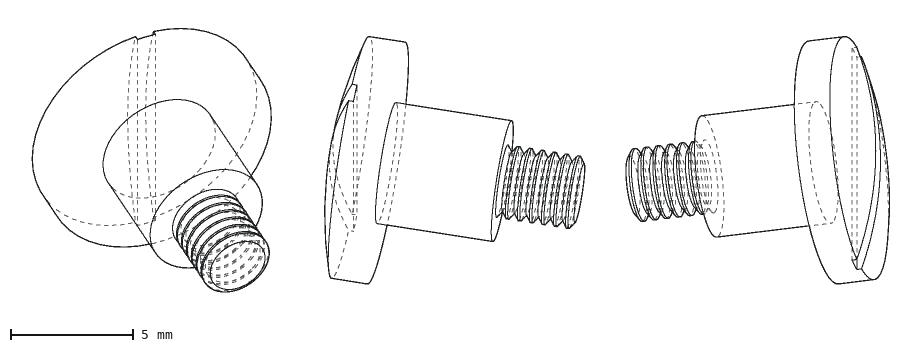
import cadquery as cq

head_diameter = 10.0
head_rim_length = 1.5
dome_height = 0.8
head_edge_fillet = 0.02

slot_width = 0.8
slot_depth = 1.0

shoulder_diameter = 5.0
shoulder_length = 4.8

thread_diameter = 3.0
thread_pitch = 0.5
thread_depth = 0.28
thread_crest_width = 0.1
thread_ridge_count = 6

head_radius = head_diameter / 2
shoulder_radius = shoulder_diameter / 2
crest_radius = thread_diameter / 2
root_radius = crest_radius - thread_depth
flank_length = (thread_pitch - thread_crest_width) / 2

rim_x = -head_rim_length
apex_x = rim_x - dome_height
dome_radius = (head_radius**2 + dome_height**2) / (2 * dome_height)


def make_head():
    """Cylindrical rim with a spherical dome and a rounded underside edge."""
    dome_mid_radius = head_radius / 2
    dome_mid_x = apex_x + dome_radius - (dome_radius**2 - dome_mid_radius**2) ** 0.5
    profile = (
        cq.Workplane("XZ")
        .moveTo(apex_x, 0)
        .threePointArc((dome_mid_x, dome_mid_radius), (rim_x, head_radius))
        .lineTo(0, head_radius)
        .lineTo(0, 0)
        .close()
    )
    head = profile.revolve(360, (0, 0, 0), (1, 0, 0))
    return head.faces(">X").edges().fillet(head_edge_fillet)


def make_shank():
    """Plain shoulder followed by thread ridges modelled as separate rings."""
    profile = (
        cq.Workplane("XZ")
        .lineTo(0, shoulder_radius)
        .lineTo(shoulder_length, shoulder_radius)
        .lineTo(shoulder_length, crest_radius)
    )
    root_x = shoulder_length + flank_length
    profile = profile.lineTo(root_x, root_radius)
    for _ in range(thread_ridge_count):
        crest_x = root_x + flank_length
        profile = profile.lineTo(crest_x, crest_radius)
        profile = profile.lineTo(crest_x + thread_crest_width, crest_radius)
        root_x += thread_pitch
        profile = profile.lineTo(root_x, root_radius)
    profile = profile.lineTo(root_x, 0).close()
    return profile.revolve(360, (0, 0, 0), (1, 0, 0))


def make_slot():
    """Driver slot running along Z across the whole dome."""
    slot = cq.Workplane("XY").box(slot_depth, slot_width, head_diameter, centered=(False, True, True))
    return slot.translate((apex_x, 0, 0))


result = make_head().union(make_shank()).cut(make_slot())